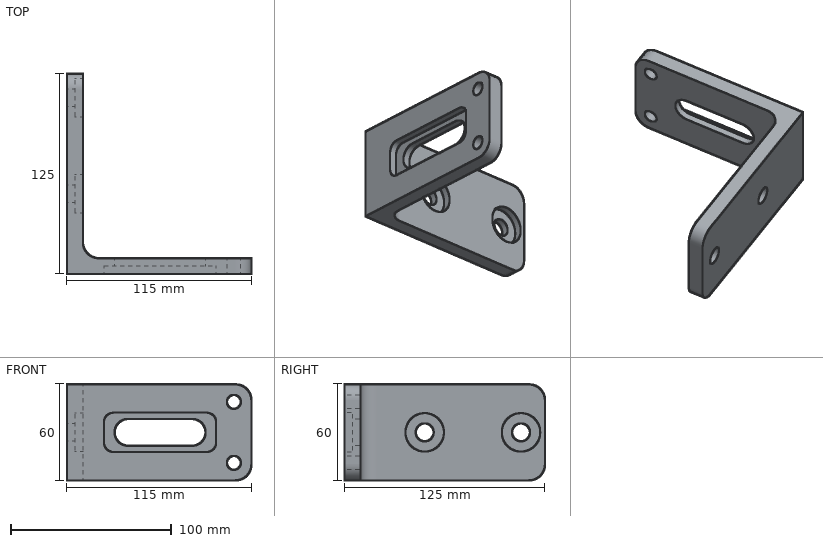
import cadquery as cq

leg_x = 115.0
leg_y = 125.0
height = 60.0
thickness = 10.0
bend_radius = 10.0
corner_radius = 10.0

slot_center_x = 58.0
slot_length = 56.5
slot_width = 16.5
recess_length = 70.0
recess_width = 24.5
recess_corner_radius = 6.0
recess_depth = 5.0

end_hole_diameter = 8.5
end_hole_x = 104.0
end_hole_spacing = 38.0

side_hole_diameter = 11.0
counterbore_diameter = 24.0
counterbore_depth = 5.0
side_hole_positions = (50.0, 110.0)

middle_z = height / 2


def angle_body():
    """L-shaped body with a filleted inner bend and rounded leg ends."""
    body = (
        cq.Workplane("XY")
        .moveTo(0, 0)
        .lineTo(leg_x, 0)
        .lineTo(leg_x, thickness)
        .lineTo(thickness + bend_radius, thickness)
        .radiusArc((thickness, thickness + bend_radius), bend_radius)
        .lineTo(thickness, leg_y)
        .lineTo(0, leg_y)
        .close()
        .extrude(height)
    )
    body = body.faces(">X").edges("|Y").fillet(corner_radius)
    return body.faces(">Y").edges("|X").fillet(corner_radius)


def x_leg_plane(x):
    """Workplane on the outer face of the X leg, with its normal pointing to -Y."""
    return cq.Workplane("XZ", origin=(x, 0, middle_z))


def recessed_slot():
    """Through slot together with the rounded recess around it."""
    slot = x_leg_plane(slot_center_x).slot2D(slot_length, slot_width).extrude(-thickness)
    recess = (
        x_leg_plane(slot_center_x)
        .rect(recess_length, recess_width)
        .extrude(-recess_depth)
        .edges("|Y")
        .fillet(recess_corner_radius)
    )
    return slot.union(recess)


def end_holes():
    """Two holes through the X leg, symmetric about mid height."""
    return (
        x_leg_plane(end_hole_x)
        .rarray(1, end_hole_spacing, 1, 2)
        .circle(end_hole_diameter / 2)
        .extrude(-thickness)
    )


def side_holes():
    """Holes through the Y leg at mid height, with counterbores on the inner face."""
    centers = [(y, middle_z) for y in side_hole_positions]
    holes = cq.Workplane("YZ").pushPoints(centers).circle(side_hole_diameter / 2).extrude(thickness)
    counterbores = (
        cq.Workplane("YZ", origin=(thickness, 0, 0))
        .pushPoints(centers)
        .circle(counterbore_diameter / 2)
        .extrude(-counterbore_depth)
    )
    return holes.union(counterbores)


result = angle_body().cut(recessed_slot()).cut(end_holes()).cut(side_holes())